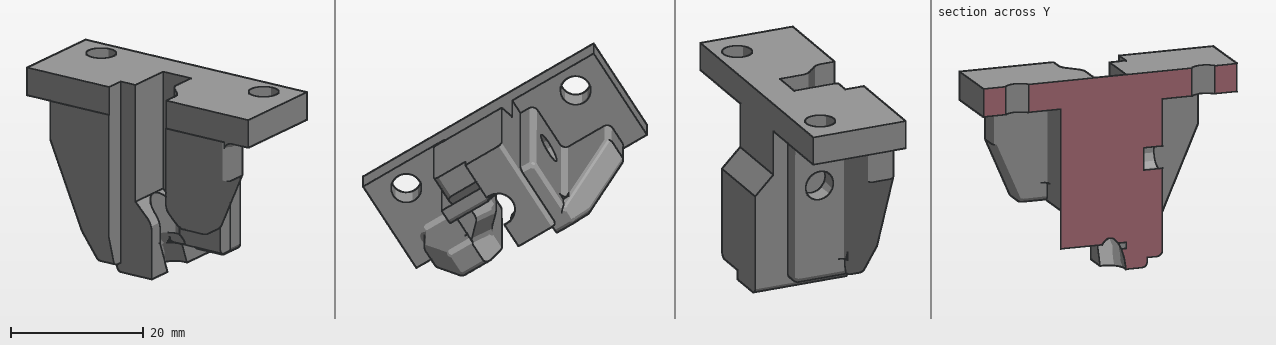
import cadquery as cq
import math


plate_length = 41
plate_front_y = 0.1
plate_back_y = 15.5
plate_thickness = 4.45
screw_hole_diameter = 4.6
screw_hole_x = 15.05
screw_hole_y = 11.85

edge_radius = 1.0
slot_edge_radius = 2.0

jaw_half_width = 16.65
jaw_thickness = 4.7
taper_start_z = -10.82
taper_slope = 0.435
left_jaw_bottom_z = -29.15
right_jaw_bottom_z = -20.38
toe_height = 5.1
toe_setback = 1.48

core_left_x = -8.5
core_right_x = 8.0
core_back_y = 13.1
core_bottom_z = left_jaw_bottom_z
back_wall_bottom_z = -27.35

rear_half_width = 6.03
rear_back_y = 18.55
rear_step_z = -11.6

slot_half_width = 2.6
slot_back_y = 10.45
mouth_half_width = 5.3
mouth_depth = 3.15
flare_height = 2.85

post_right_x = 0.45
post_bottom_z = -30.65
post_bottom_radius = 0.9
ledge_start_z = -18.78
ledge_radius = 3.0

bore_bend_z = -25.5
bore_tilt = 21

pin_hole_diameter = 4.6
pin_hole_y = 8.95
pin_hole_z = -13.57
pin_hole_depth = 3.0


def box(x_min, x_max, y_min, y_max, z_min, z_max):
    """Box between two opposite corners."""
    size = (x_max - x_min, y_max - y_min, z_max - z_min)
    return cq.Workplane("XY").box(*size, centered=False).translate((x_min, y_min, z_min))


def prism_along_y(outline, y_min, y_max):
    """Prism from an outline of (x, z) points."""
    return cq.Workplane("XZ", origin=(0, y_min, 0)).polyline(outline).close().extrude(y_min - y_max)


def prism_along_x(outline, x_min, x_max):
    """Prism from an outline of (y, z) points."""
    return cq.Workplane("YZ", origin=(x_min, 0, 0)).polyline(outline).close().extrude(x_max - x_min)


def make_jaw(side, bottom_z, toe_cut=None):
    """Tapered jaw with rounded outer edges; side is -1 for left and 1 for right."""
    inner_x = side * slot_half_width
    toe_x = jaw_half_width - taper_slope * (taper_start_z - bottom_z)
    outline = [
        (inner_x, -plate_thickness),
        (inner_x, bottom_z),
        (side * toe_x, bottom_z),
        (side * jaw_half_width, taper_start_z),
        (side * jaw_half_width, -plate_thickness),
    ]
    outward, inward = ("<X", ">X") if side < 0 else (">X", "<X")
    jaw = prism_along_y(outline, 0, jaw_thickness)
    jaw = jaw.edges("|Y and <Z").edges(outward).fillet(edge_radius)
    if toe_cut:
        jaw = jaw.cut(toe_cut)
    outer_faces = jaw.faces("#Y").faces(f"not(>Z or {inward})")
    return outer_faces.edges("not |Y").fillet(edge_radius)


def corner_fillet(side, core_x, jaw_bottom_z):
    """Hollow rounding between the back of a jaw and the side of the core."""
    outer_x = core_x + side * edge_radius
    back_y = jaw_thickness + edge_radius
    bottom_z = jaw_bottom_z + 3 * edge_radius
    x_min, x_max = sorted((core_x, outer_x))
    square = box(x_min, x_max, jaw_thickness, back_y, bottom_z, -plate_thickness)
    hollow = cq.Workplane("XY", origin=(outer_x, back_y, bottom_z)).circle(edge_radius).extrude(-bottom_z)
    return square.cut(hollow)


def make_left_side():
    """Left half up to the slot: plate, jaw with a bevelled toe, and the core behind the jaw."""
    toe_cut = prism_along_x(
        [
            (0, left_jaw_bottom_z),
            (toe_setback, left_jaw_bottom_z),
            (0, left_jaw_bottom_z + toe_height),
        ],
        -jaw_half_width,
        0,
    )
    jaw = make_jaw(-1, left_jaw_bottom_z, toe_cut)
    mouth = box(-mouth_half_width, 0, 0, mouth_depth, post_bottom_z, 0)
    plate = box(-plate_length / 2, -slot_half_width, plate_front_y, plate_back_y, -plate_thickness, 0)
    core = box(core_left_x, -slot_half_width, mouth_depth, core_back_y, core_bottom_z, 0)
    core = core.edges("(<X and >Y) or (<X and <Z) or (>Y and <Z)").fillet(edge_radius)
    side = core.union(jaw).union(corner_fillet(-1, core_left_x, left_jaw_bottom_z))
    return side.union(plate).cut(mouth)


def make_slot_wall_block():
    """Oversized block whose left side is the right slot wall, flared and rounded."""
    front_y = -slot_edge_radius
    back_y = slot_back_y + slot_edge_radius
    block = (
        cq.Workplane("XY", origin=(0, 0, right_jaw_bottom_z))
        .polyline(
            [
                (mouth_half_width, front_y),
                (mouth_half_width, mouth_depth),
                (slot_half_width, mouth_depth + mouth_half_width - slot_half_width),
                (slot_half_width, back_y),
                (plate_length, back_y),
                (plate_length, front_y),
            ]
        )
        .close()
        .extrude(-right_jaw_bottom_z)
    )

    rim = edge_radius / 2
    wall_x = mouth_half_width + flare_height
    bottom_edges = cq.selectors.BoxSelector(
        (0, front_y - rim, right_jaw_bottom_z - rim),
        (wall_x, back_y - rim, right_jaw_bottom_z + rim),
    )
    block = block.edges(bottom_edges).chamfer(flare_height)

    wall_edges = cq.selectors.BoxSelector(
        (0, front_y + rim, right_jaw_bottom_z + rim),
        (wall_x, back_y - rim, -rim),
    )
    return block.edges(wall_edges).fillet(slot_edge_radius)


def make_right_side():
    """Right half up to the slot wall: plate, jaw and the core behind the jaw."""
    plate = box(0, plate_length / 2, plate_front_y, slot_back_y, -plate_thickness, 0)
    side = plate.union(make_jaw(1, right_jaw_bottom_z))
    jaw_root = cq.NearestToPointSelector((jaw_half_width, jaw_thickness / 2, -plate_thickness))
    side = side.edges("|Y").edges(jaw_root).fillet(edge_radius)

    core = box(0, core_right_x, jaw_thickness / 2, slot_back_y, right_jaw_bottom_z, 0)
    side = side.union(core).union(corner_fillet(1, core_right_x, right_jaw_bottom_z))
    return side.intersect(make_slot_wall_block())


def make_back():
    """Plate and wall closing the slot at the back, and the block stepping out behind them."""
    plate = box(-slot_half_width, plate_length / 2, slot_back_y, plate_back_y, -plate_thickness, 0)
    wall = box(-slot_half_width, core_right_x, slot_back_y, core_back_y, back_wall_bottom_z, 0)
    wall = wall.edges("<Y and <Z").fillet(edge_radius)

    step_depth = rear_back_y - plate_back_y
    underside_drop = back_wall_bottom_z - core_bottom_z
    inner_y = slot_back_y + edge_radius
    block = prism_along_x(
        [
            (inner_y, 0),
            (plate_back_y, 0),
            (plate_back_y, rear_step_z),
            (rear_back_y, rear_step_z - step_depth),
            (rear_back_y, core_bottom_z),
            (core_back_y + underside_drop, core_bottom_z),
            (core_back_y, back_wall_bottom_z),
            (inner_y, back_wall_bottom_z),
        ],
        -rear_half_width,
        rear_half_width,
    )
    lower_right_edge = cq.NearestToPointSelector((rear_half_width, rear_back_y, core_bottom_z))
    block = block.edges("|Y").edges(lower_right_edge).fillet(edge_radius)
    return plate.union(wall).union(block)


def make_post():
    """Post left of the slot; it widens below a sloping ledge and its foot reaches the rear."""
    ledge_end_z = ledge_start_z - (post_right_x + slot_half_width)
    post = prism_along_y(
        [
            (-rear_half_width, 0),
            (-slot_half_width, 0),
            (-slot_half_width, ledge_start_z),
            (post_right_x, ledge_end_z),
            (post_right_x, post_bottom_z),
            (-rear_half_width, post_bottom_z),
        ],
        mouth_depth,
        slot_back_y,
    )
    ledge_end = cq.NearestToPointSelector((post_right_x, (mouth_depth + slot_back_y) / 2, ledge_end_z))
    post = post.edges("|Y").edges(ledge_end).fillet(ledge_radius)
    foot = box(-rear_half_width, post_right_x, slot_back_y, rear_back_y, post_bottom_z, back_wall_bottom_z)
    return post.union(foot).edges("<X and <Z").fillet(post_bottom_radius)


def make_guide_bore():
    """Round bore as wide as the slot: straight down, then leaning backwards."""
    bend = cq.Workplane("XY", origin=(0, slot_back_y - slot_half_width, bore_bend_z))
    upper = bend.circle(slot_half_width).extrude(-bore_bend_z)
    drop = bore_bend_z - post_bottom_z
    lower = (
        bend.circle(slot_half_width)
        .workplane(offset=-drop)
        .center(0, drop * math.tan(math.radians(bore_tilt)))
        .circle(slot_half_width)
        .loft(ruled=True)
    )
    return upper.union(lower)


def make_screw_holes():
    return (
        cq.Workplane("XY")
        .pushPoints([(-screw_hole_x, screw_hole_y), (screw_hole_x, screw_hole_y)])
        .circle(screw_hole_diameter / 2)
        .extrude(-plate_thickness)
    )


def make_pin_hole():
    return (
        cq.Workplane("YZ", origin=(core_left_x, pin_hole_y, pin_hole_z))
        .circle(pin_hole_diameter / 2)
        .extrude(pin_hole_depth)
    )


result = (
    make_left_side()
    .union(make_right_side())
    .union(make_back())
    .union(make_post())
    .cut(make_guide_bore())
    .cut(make_screw_holes())
    .cut(make_pin_hole())
)